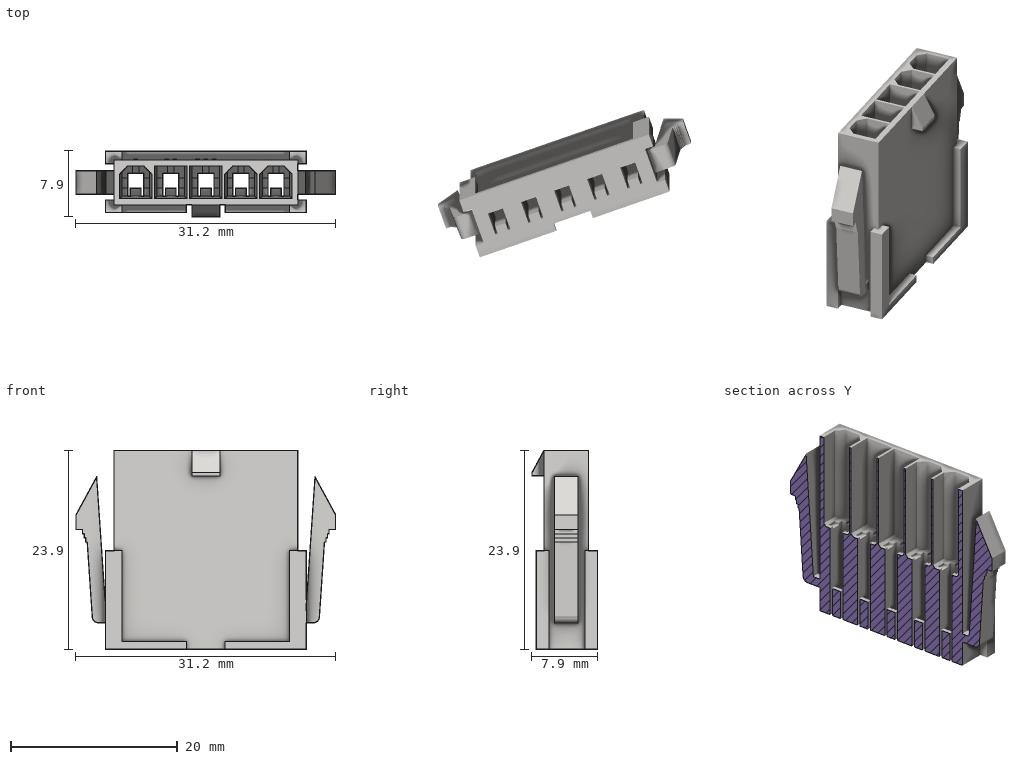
import cadquery as cq

total_height = 23.9
body_width = 22.1
body_depth = 5.37

frame_height = 11.85
frame_half_width = 12.07
frame_front_y = -3.62
frame_back_y = 3.78
post_width = 2.0
post_depth = 1.53
rail_height = 0.95
front_rail_gap = 4.65

ramp_width = 3.37
ramp_reach = 4.12
ramp_bottom_z = 20.85
ramp_lip_height = 0.4
ramp_root_depth = 0.3

latch_depth = 2.87
latch_outer_x = 15.6
latch_tip_x = 13.1
latch_tip_z = 20.75
latch_outer_top_z = 16.15
latch_catch_z = 14.38
latch_catch_depth = 0.78
latch_step_width = 0.2
latch_step_height = 0.5
latch_step_count = 3
latch_foot_x = 13.6
latch_foot_z = 3.18
latch_foot_radius = 0.75
latch_root_x = 11.98
latch_root_z = 4.37

socket_pitch = 4.2
socket_size = 3.9
socket_floor_z = frame_height
socket_corner_cut = 0.97
socket_floor_bevel = 0.3
keyed_socket_columns = (-2, 1, 2)
socket_columns = (-2, -1, 0, 1, 2)
window_width = 1.9
window_front_y = -socket_size / 2 + socket_floor_bevel
window_back_y = 1.1
groove_depth = 0.3
cross_groove_front_y = -0.7
cross_groove_back_y = 0.53
back_groove_width = 0.75
tongue_width = 1.3
tongue_height = 3.75

dot_diameter = 0.45
dot_height = 0.12
dot_spacing = 1.0
dot_z = frame_height / 2
dotted_columns = (-2, -1, 0)


def box(x0, x1, y0, y1, z0, z1):
    """Axis-aligned box between two opposite corners."""
    return cq.Workplane("XY").box(x1 - x0, y1 - y0, z1 - z0, centered=False).translate((x0, y0, z0))


def mirror_pair(right_side):
    """The given shape together with its mirror image across X = 0."""
    return right_side.union(right_side.mirror("YZ"))


def make_body():
    return box(-body_width / 2, body_width / 2, -body_depth / 2, body_depth / 2, 0, total_height)


def make_frame(outer_y, inward, rail_gap):
    """Two corner posts and a bottom rail; inward is +1 or -1 along Y."""
    post_y = sorted((outer_y, outer_y + inward * post_depth))
    rail_y = sorted((outer_y, 0))
    post_inner_x = frame_half_width - post_width
    post = box(post_inner_x, frame_half_width, *post_y, 0, frame_height)
    rail = box(rail_gap / 2, post_inner_x, *rail_y, 0, rail_height)
    return mirror_pair(post.union(rail))


def make_ramp():
    """Wedge that widens downward from the top edge to a flat catch; its back is buried in the wall."""
    face_y = -body_depth / 2
    buried_y = face_y + ramp_root_depth
    return (
        cq.Workplane("YZ")
        .moveTo(face_y, total_height)
        .lineTo(-ramp_reach, ramp_bottom_z + ramp_lip_height)
        .lineTo(-ramp_reach, ramp_bottom_z)
        .lineTo(buried_y, ramp_bottom_z)
        .lineTo(buried_y, total_height)
        .close()
        .extrude(ramp_width / 2, both=True)
    )


def make_latches():
    """Two leaning arms joined to the body at the foot, with a stepped catch under the head."""
    step_x = latch_outer_x - latch_catch_depth
    step_z = latch_catch_z
    outline = [
        (latch_root_x, latch_root_z),
        (latch_tip_x, latch_tip_z),
        (latch_outer_x, latch_outer_top_z),
        (latch_outer_x, step_z),
        (step_x, step_z),
    ]
    for _ in range(latch_step_count):
        step_z -= latch_step_height
        outline.append((step_x, step_z))
        step_x -= latch_step_width
        outline.append((step_x, step_z))
    outline += [
        (latch_foot_x, latch_foot_z),
        (0, latch_foot_z),
        (0, latch_root_z),
    ]
    latch = cq.Workplane("XZ").polyline(outline).close().extrude(latch_depth / 2, both=True)
    foot_corner = cq.selectors.NearestToPointSelector((latch_foot_x, 0, latch_foot_z))
    return mirror_pair(latch.edges("|Y").edges(foot_corner).fillet(latch_foot_radius))


def make_socket(keyed):
    """Space removed for one socket, centred on X = 0."""
    half = socket_size / 2
    space = box(-half, half, -half, half, socket_floor_z, total_height)
    space = space.faces("<Z").edges("<X or >X or <Y").chamfer(socket_floor_bevel)
    if keyed:
        space = space.intersect(
            box(-half, half, -half, half, socket_floor_z, total_height)
            .edges("|Z and >Y")
            .chamfer(socket_corner_cut)
        )
    floor_half = half - socket_floor_bevel
    groove_z = (socket_floor_z - groove_depth, socket_floor_z)
    cross_groove = box(-floor_half, floor_half, cross_groove_front_y, cross_groove_back_y, *groove_z)
    back_groove = box(-back_groove_width / 2, back_groove_width / 2, 0, half, *groove_z)
    window = box(-window_width / 2, window_width / 2, window_front_y, window_back_y, 0, socket_floor_z)
    tongue = box(
        -tongue_width / 2, tongue_width / 2, window_front_y, cross_groove_front_y, 0, tongue_height
    )
    return space.union(cross_groove).union(back_groove).union(window).cut(tongue)


def make_dots(count):
    """A row of dots on the back face, centred on X = 0 and sunk into it by their own height."""
    row = cq.Workplane("XZ", origin=(0, body_depth / 2 + dot_height, dot_z))
    return row.rarray(dot_spacing, 0.3, count, 1).circle(dot_diameter / 2).extrude(2 * dot_height)


result = make_body()
result = result.union(make_frame(frame_front_y, 1, front_rail_gap))
result = result.union(make_frame(frame_back_y, -1, 0))
result = result.union(make_ramp())
result = result.union(make_latches())
for number, column in enumerate(dotted_columns, start=1):
    result = result.union(make_dots(number).translate((column * socket_pitch, 0, 0)))
for column in socket_columns:
    socket = make_socket(column in keyed_socket_columns)
    result = result.cut(socket.translate((column * socket_pitch, 0, 0)))